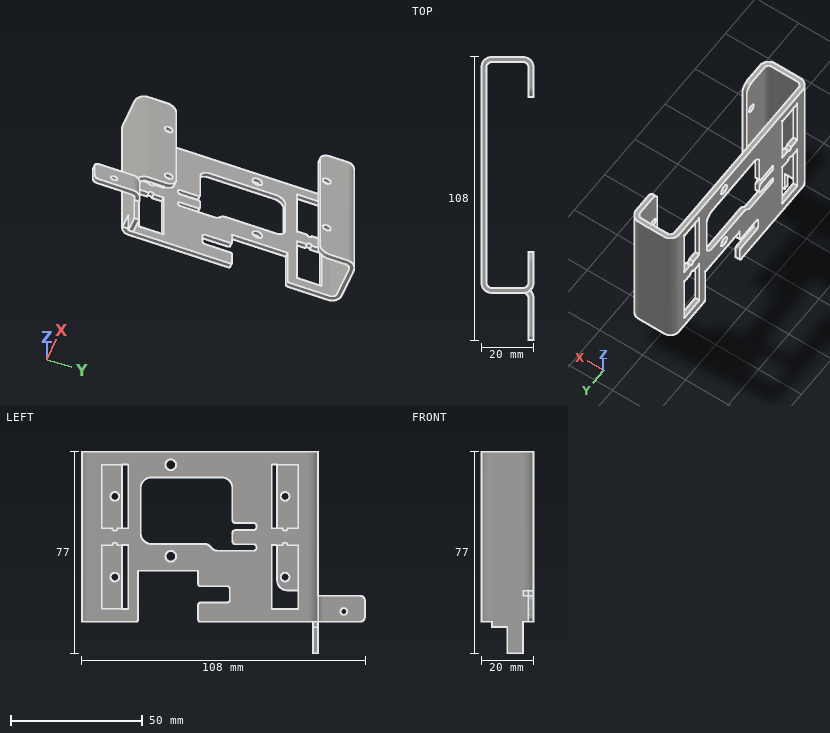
import cadquery as cq
import math

depth = 20.0
channel_width = 90.1
height = 65.0
total_length = 108.0
total_height = 77.0

thickness = depth / 10
bend_inner = thickness
bend_outer = bend_inner + thickness
half_width = channel_width / 2
bend_start = depth - bend_outer
corner_small = 1.0
corner_large = bend_outer
corner_reach = 0.1

left_lip_width = 15.3
right_lip_width = 15.7
right_lip_height = 53.0
right_lip_bottom = height - right_lip_height

window_inset = 7.6
window_width = 10.0
window_height = 24.3
window_margin = 5.0
relief_radius = 1.0
lip_hole_diameter = 3.2

plate_hole_diameter = 4.0
plate_hole_inset = 33.9
plate_hole_drops = (5.1, 40.0)

opening_left = 22.5
opening_right = 57.3
opening_top = 9.9
opening_bottom = 35.2
slot_end = 66.5
upper_slot_top = 27.3
upper_slot_bottom = 29.9
lower_slot_top = 35.4
lower_slot_bottom = 37.8
finger_corner = 1.3
step_start = 46.8
step_radius = 3.0

cutout_left = 21.5
cutout_right = 44.3
cutout_top = 45.6
notch_top = 51.4
notch_bottom = 57.6
notch_end = 56.4

tab_height = 10.0
tab_corner = bend_inner
tab_hole_diameter = 2.5
tab_hole_inset = 99.9
tab_hole_height = 4.0
tongue_split = 9.8
tongue_shoulder = thickness
tongue_drop = total_height - height


def plate_point(inset, drop):
    """Point (Y, Z) given by the distance from the +Y side and below the top edge."""
    return half_width - inset, height - drop


def block(x_range, y_range, z_range):
    """Box between pairs of limits."""
    sizes = [high - low for low, high in (x_range, y_range, z_range)]
    corner = (x_range[0], y_range[0], z_range[0])
    return cq.Workplane("XY").box(*sizes, centered=False).translate(corner)


def plate_cutter(points):
    """Closed outline of (inset, drop) points, extruded through the plate."""
    outline = [plate_point(*point) for point in points]
    return cq.Workplane("YZ").polyline(outline).close().extrude(thickness)


def hole_cutter(inset, drop, diameter, x_start):
    """Hole along X through one sheet thickness that starts at x_start."""
    sheet = cq.Workplane("YZ", origin=(x_start, 0, 0))
    return sheet.center(*plate_point(inset, drop)).circle(diameter / 2).extrude(thickness)


def round_corners(body, points, radius):
    """Fillet the edges along X that pass through the given (inset, drop) points."""
    for point in points:
        y, z = plate_point(*point)
        corner = cq.selectors.BoxSelector(
            (0, y - corner_reach, z - corner_reach), (depth, y + corner_reach, z + corner_reach))
        body = body.edges("|X").edges(corner).fillet(radius)
    return body


def channel():
    """Bent sheet: plate, two side walls and two lips."""
    outer = block((0, depth), (-half_width, half_width), (0, height))
    outer = outer.edges("|Z").fillet(bend_outer)
    inner = block((thickness, depth - thickness),
                  (thickness - half_width, half_width - thickness), (0, height))
    inner = inner.edges("|Z").fillet(bend_inner)
    lip_gap = block((bend_start, depth),
                    (right_lip_width - half_width, half_width - left_lip_width), (0, height))
    below_right_lip = block((bend_start, depth), (-half_width, 0), (0, right_lip_bottom))
    body = outer.cut(inner).cut(lip_gap).cut(below_right_lip)
    right_lip_edge = channel_width - right_lip_width
    lip_corners = [(left_lip_width, 0), (left_lip_width, height),
                   (right_lip_edge, 0), (right_lip_edge, right_lip_height)]
    return round_corners(body, lip_corners, corner_large)


def windows():
    """Four windows with a round relief towards the middle, and a lip hole behind each."""
    center_inset = window_inset + window_width / 2
    center_drop = window_margin + window_height / 2
    cutters = cq.Workplane("YZ")
    for inset in (center_inset, channel_width - center_inset):
        for drop, inward in ((center_drop, 1), (height - center_drop, -1)):
            window = (cq.Workplane("YZ").center(*plate_point(inset, drop))
                      .rect(window_width, window_height).extrude(thickness))
            relief_drop = drop + inward * window_height / 2
            relief = hole_cutter(inset, relief_drop, 2 * relief_radius, 0)
            lip_hole = hole_cutter(inset, drop, lip_hole_diameter, depth - thickness)
            cutters = cutters.add(window.union(relief)).add(lip_hole)
    return cutters.combine()


def main_opening():
    """Opening with two finger slots; an S-shaped step lowers its bottom edge."""
    step_height = lower_slot_bottom - opening_bottom
    step_sweep = math.acos(1 - step_height / (2 * step_radius))
    half_step = step_radius * math.sin(step_sweep)
    middle = (step_start + half_step, opening_bottom + step_height / 2)
    step_end = step_start + 2 * half_step
    arc_run = step_radius * math.sin(step_sweep / 2)
    arc_rise = step_radius * (1 - math.cos(step_sweep / 2))

    path = cq.Workplane("YZ").moveTo(*plate_point(opening_left, opening_top))
    path = path.lineTo(*plate_point(opening_left, opening_bottom))
    path = path.lineTo(*plate_point(step_start, opening_bottom))
    path = path.threePointArc(plate_point(step_start + arc_run, opening_bottom + arc_rise),
                              plate_point(*middle))
    path = path.threePointArc(plate_point(step_end - arc_run, lower_slot_bottom - arc_rise),
                              plate_point(step_end, lower_slot_bottom))
    for inset, drop in [(slot_end, lower_slot_bottom), (slot_end, lower_slot_top),
                        (opening_right, lower_slot_top), (opening_right, upper_slot_bottom),
                        (slot_end, upper_slot_bottom), (slot_end, upper_slot_top),
                        (opening_right, upper_slot_top), (opening_right, opening_top)]:
        path = path.lineTo(*plate_point(inset, drop))
    opening = path.close().extrude(thickness)

    large = [(opening_left, opening_top), (opening_left, opening_bottom),
             (opening_right, opening_top)]
    fingers = [(opening_right, drop)
               for drop in (upper_slot_top, upper_slot_bottom, lower_slot_top)]
    slot_ends = [(slot_end, drop) for drop in (upper_slot_top, upper_slot_bottom,
                                               lower_slot_top, lower_slot_bottom)]
    opening = round_corners(opening, large, corner_large)
    opening = round_corners(opening, fingers, finger_corner)
    return round_corners(opening, slot_ends, corner_small)


def cut_bottom_edge(body):
    """Open cutout in the bottom edge with a notch on its -Y side."""
    body = body.cut(plate_cutter([
        (cutout_left, height), (cutout_left, cutout_top),
        (cutout_right, cutout_top), (cutout_right, notch_top),
        (notch_end, notch_top), (notch_end, notch_bottom),
        (cutout_right, notch_bottom), (cutout_right, height)]))
    rounded = [(cutout_left, height), (cutout_right, height)]
    rounded += [(inset, drop) for inset in (cutout_right, notch_end)
                for drop in (notch_top, notch_bottom)]
    return round_corners(body, rounded, corner_small)


def side_tab():
    """Tab that bends away from the -Y side wall and runs outwards along -Y."""
    bend_y = -half_width - bend_inner
    tab_end = half_width - total_length
    ring = (cq.Workplane("XY").center(bend_start, bend_y)
            .circle(bend_outer).circle(bend_inner).extrude(tab_height))
    quarter = block((bend_start, depth), (bend_y, bend_y + bend_outer), (0, tab_height))
    flat = block((depth - thickness, depth), (tab_end, bend_y), (0, tab_height))
    flat = flat.faces("<Y").edges("|X").fillet(tab_corner)
    hole = hole_cutter(tab_hole_inset, height - tab_hole_height,
                       tab_hole_diameter, depth - thickness)
    return ring.intersect(quarter).union(flat).cut(hole)


def tongue():
    """Stepped extension of the -Y side wall below the plate."""
    wall = (-half_width, thickness - half_width)
    shoulder = block((bend_outer, tongue_split), wall, (-tongue_shoulder, 0))
    leg = block((tongue_split, bend_start), wall, (-tongue_drop, 0))
    return shoulder.union(leg)


bracket = channel().cut(windows()).cut(main_opening())
bracket = cut_bottom_edge(bracket)
for drop_from_top in plate_hole_drops:
    bracket = bracket.cut(hole_cutter(plate_hole_inset, drop_from_top, plate_hole_diameter, 0))

result = bracket.union(side_tab()).union(tongue())